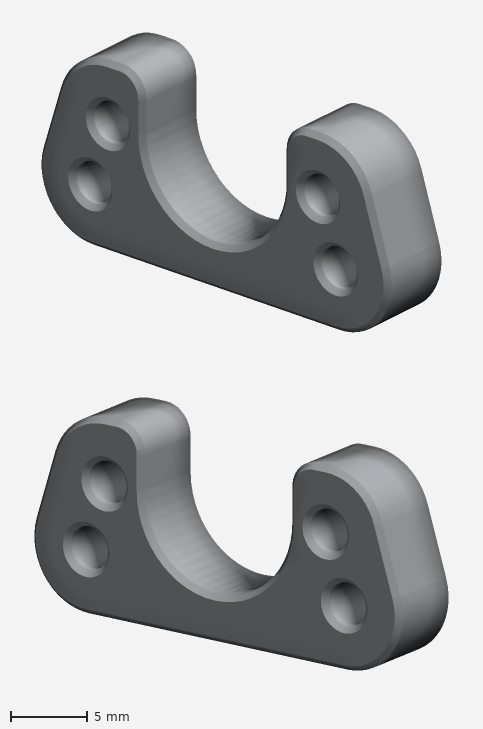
import cadquery as cq
import math

length = 29.93
thickness = 5.87
height = 13.77
lobe_radius = 4.5
upper_hole_x = 8.98
slot_radius = 6.0
tip_radius = 2.0
hole_diameter = 3.0
edge_chamfer = 0.4

lower_hole_x = length / 2 - lobe_radius
lower_hole_z = lobe_radius
upper_hole_z = height - lobe_radius
slot_z = upper_hole_z

flank_angle = math.atan2(lower_hole_x - upper_hole_x, upper_hole_z - lower_hole_z)
lower_mid_angle = (flank_angle - math.pi / 2) / 2
upper_mid_angle = (flank_angle + math.pi / 2) / 2


def lobe_point(center_x, center_z, angle):
    """Point on a right-hand lobe, with the angle measured from +X towards +Z."""
    return (center_x + lobe_radius * math.cos(angle), center_z + lobe_radius * math.sin(angle))


def mirrored(point):
    return (-point[0], point[1])


def make_plate():
    """Symmetric plate with an open U-shaped slot at the top."""
    lower_mid = lobe_point(lower_hole_x, lower_hole_z, lower_mid_angle)
    flank_start = lobe_point(lower_hole_x, lower_hole_z, flank_angle)
    flank_end = lobe_point(upper_hole_x, upper_hole_z, flank_angle)
    upper_mid = lobe_point(upper_hole_x, upper_hole_z, upper_mid_angle)
    upper_end = (upper_hole_x, height)
    tip_center_x = slot_radius + tip_radius
    tip_center_z = height - tip_radius
    tip_start = (tip_center_x, height)
    tip_offset = tip_radius * math.sqrt(0.5)
    tip_mid = (tip_center_x - tip_offset, tip_center_z + tip_offset)
    tip_end = (slot_radius, tip_center_z)
    slot_start = (slot_radius, slot_z)

    return (
        cq.Workplane("XZ", origin=(0, thickness / 2, 0))
        .moveTo(-lower_hole_x, 0)
        .lineTo(lower_hole_x, 0)
        .threePointArc(lower_mid, flank_start)
        .lineTo(*flank_end)
        .threePointArc(upper_mid, upper_end)
        .lineTo(*tip_start)
        .threePointArc(tip_mid, tip_end)
        .lineTo(*slot_start)
        .threePointArc((0, slot_z - slot_radius), mirrored(slot_start))
        .lineTo(*mirrored(tip_end))
        .threePointArc(mirrored(tip_mid), mirrored(tip_start))
        .lineTo(*mirrored(upper_end))
        .threePointArc(mirrored(upper_mid), mirrored(flank_end))
        .lineTo(*mirrored(flank_start))
        .threePointArc(mirrored(lower_mid), (-lower_hole_x, 0))
        .close()
        .extrude(thickness)
    )


def drill_holes(plate):
    """Two through holes on each side of the slot."""
    right_holes = [(lower_hole_x, lower_hole_z), (upper_hole_x, upper_hole_z)]
    left_holes = [mirrored(hole) for hole in right_holes]
    drills = (
        cq.Workplane("XZ", origin=(0, thickness / 2, 0))
        .pushPoints(right_holes + left_holes)
        .circle(hole_diameter / 2)
        .extrude(thickness)
    )
    return plate.cut(drills)


result = drill_holes(make_plate()).faces("<Y or >Y").edges().chamfer(edge_chamfer)